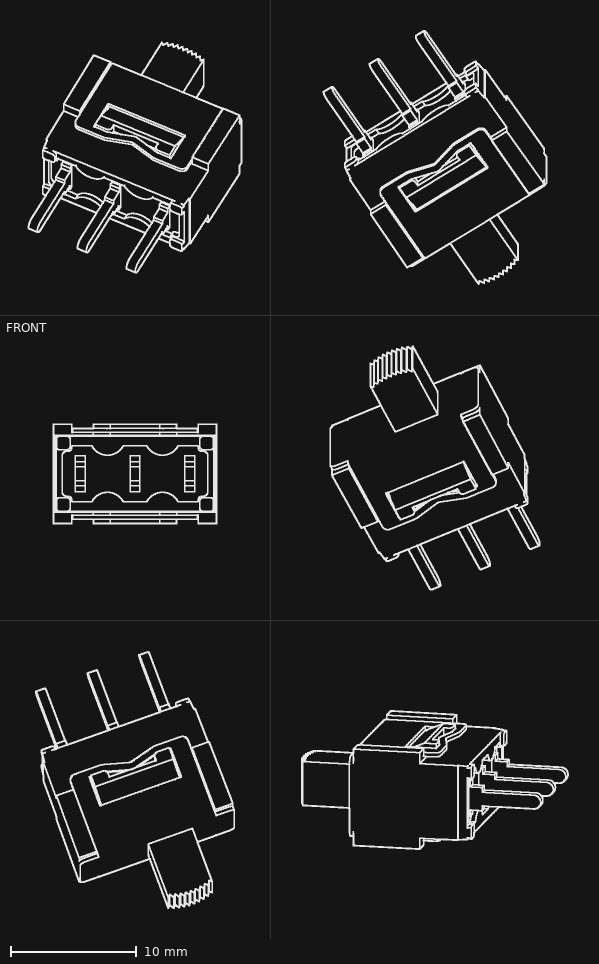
import cadquery as cq
import math


shell_half_width_top = 6.5
shell_half_width_bottom = 6.42
shell_bottom_y = 0.73
shell_top_y = 9.23
cover_top_y = 9.55
base_half_depth = 3.05
shoulder_y = 3.84

skirt_half_width_top = 6.32
skirt_half_width_bottom = 6.25
skirt_half_depth_bottom = 2.99

block_depth = 7.9
block_half_depth = block_depth / 2
channel_half_width = 5.0
channel_half_depth = 3.3

panel_thickness = cover_top_y - shell_top_y
panel_half_width = 4.97
panel_bottom_y = 2.6
panel_corner_radius = 0.48
plate_corner_radius = 0.48
notch_half_width = 2.2
notch_rise = 0.6
notch_bend_radius = 0.75
notch_peak_radius = 0.5
window_half_width = 3.43
window_bottom_y = panel_bottom_y + notch_rise
window_top_y = 5.72

latch_half_width = 3.31
latch_ridge_y = 4.2
latch_notch_half_width = 1.98
latch_corner_radius = 0.3

foot_inner_x = 5.13
foot_outer_x = 6.28
foot_inner_z = 1.9
foot_height = 0.3
foot_root_y = 0.36
foot_corner_radius = 0.3

recess_depth = 0.42
recess_half_width = 5.8
recess_half_depth = 2.22
recess_side_half_depth = 1.8
recess_waist_half_width = 5.03
recess_side_radius = 0.4
recess_step_radius = 0.26
recess_edge_radius = 0.08
scallop_radius = 1.41
scallop_center_z = 2.89

terminal_pitch = 4.36
terminal_width = 0.79
terminal_foot_half_depth = 1.43
terminal_foot_end_y = 0.1
terminal_shoulder_half_depth = 0.95
terminal_shoulder_end_y = -0.85
terminal_half_depth = 0.57
terminal_tip_y = -5.64

slider_width = 3.74
slider_center_x = -1.1
slider_half_depth = 1.8
slider_top_y = 14.56
tooth_count = 9
tooth_depth = 0.28
crown_sag = 0.36

pick_margin = 0.05


def box(x_min, x_max, y_min, y_max, z_min, z_max):
    size = (x_max - x_min, y_max - y_min, z_max - z_min)
    return cq.Workplane("XY").box(*size, centered=False).translate((x_min, y_min, z_min))


def shell_half_width(y):
    """Half width of the drafted shell at height y."""
    fraction = (y - shell_bottom_y) / (shell_top_y - shell_bottom_y)
    return shell_half_width_bottom + fraction * (shell_half_width_top - shell_half_width_bottom)


def shell_slab(y_min, y_max, half_depth):
    low = shell_half_width(y_min)
    high = shell_half_width(y_max)
    outline = [(-low, y_min), (low, y_min), (high, y_max), (-high, y_max)]
    return cq.Workplane("XY").polyline(outline).close().extrude(half_depth, both=True)


def skirt_taper(bottom_y):
    """Solid between the sloping X sides of the skirt, from the shell down to bottom_y."""
    slope = (skirt_half_width_top - skirt_half_width_bottom) / shell_bottom_y
    low = skirt_half_width_bottom + slope * bottom_y
    high = skirt_half_width_top
    outline = [(-low, bottom_y), (low, bottom_y), (high, shell_bottom_y), (-high, shell_bottom_y)]
    return cq.Workplane("XY").polyline(outline).close().extrude(base_half_depth, both=True)


def make_skirt():
    """Skirt that slopes inward on its X and Z sides."""
    profile = [
        (0, -skirt_half_depth_bottom),
        (0, skirt_half_depth_bottom),
        (shell_bottom_y, base_half_depth),
        (shell_bottom_y, -base_half_depth),
    ]
    z_taper = cq.Workplane("YZ").polyline(profile).close().extrude(skirt_half_width_top, both=True)
    return skirt_taper(0).intersect(z_taper)


def make_end_plate():
    plate = box(
        -shell_half_width_top, shell_half_width_top,
        shell_top_y, cover_top_y,
        -channel_half_depth, channel_half_depth,
    )
    return plate.edges("|Y").fillet(plate_corner_radius)


def v_edged_plate(half_width, bottom_y, top_y, thickness):
    """Plate whose lower edge rises to a rounded peak in the middle."""
    outline = [
        (-half_width, top_y),
        (-half_width, bottom_y),
        (-notch_half_width, bottom_y),
        (0, bottom_y + notch_rise),
        (notch_half_width, bottom_y),
        (half_width, bottom_y),
        (half_width, top_y),
    ]
    plate = cq.Workplane("XY").polyline(outline).close().extrude(thickness)
    bends = [
        (-notch_half_width, bottom_y, notch_bend_radius),
        (0, bottom_y + notch_rise, notch_peak_radius),
        (notch_half_width, bottom_y, notch_bend_radius),
    ]
    for x, y, radius in bends:
        bend = cq.selectors.BoxSelector(
            (x - pick_margin, y - pick_margin, 0), (x + pick_margin, y + pick_margin, thickness)
        )
        plate = plate.edges("|Z").edges(bend).fillet(radius)
    return plate


def make_panel():
    """Clip panel of the +Z side, with the round bend that joins it to the end plate."""
    panel = v_edged_plate(panel_half_width, panel_bottom_y, shell_top_y, panel_thickness)
    panel = panel.edges("|Z and (<X or >X) and <Y").fillet(panel_corner_radius)
    window = v_edged_plate(window_half_width, window_bottom_y, window_top_y, panel_thickness)
    panel = panel.cut(window).translate((0, 0, channel_half_depth))
    bend = (
        cq.Workplane("YZ")
        .moveTo(shell_top_y, base_half_depth)
        .lineTo(cover_top_y, base_half_depth)
        .lineTo(cover_top_y, channel_half_depth)
        .radiusArc((shell_top_y, channel_half_depth + panel_thickness), -panel_thickness)
        .close()
        .extrude(panel_half_width, both=True)
    )
    return panel.union(bend)


def make_latch():
    """Wedge that ramps up through the panel window and ends in two legs."""
    profile = [
        (window_bottom_y, base_half_depth),
        (window_bottom_y, block_half_depth),
        (latch_ridge_y, block_half_depth),
        (window_top_y, channel_half_depth),
        (window_top_y, base_half_depth),
    ]
    wedge = cq.Workplane("YZ").polyline(profile).close().extrude(latch_half_width, both=True)
    gap = box(
        -latch_notch_half_width, latch_notch_half_width,
        window_bottom_y, shoulder_y,
        base_half_depth, block_half_depth,
    )
    wedge = wedge.cut(gap)
    for x in (-latch_notch_half_width, latch_notch_half_width):
        leg_corner = cq.selectors.BoxSelector(
            (x - pick_margin, window_bottom_y - pick_margin, base_half_depth),
            (x + pick_margin, window_bottom_y + pick_margin, block_half_depth),
        )
        wedge = wedge.edges("|Z").edges(leg_corner).fillet(latch_corner_radius)
    return wedge


def make_foot():
    """Corner foot of the +X +Z quadrant, trimmed by the sloping side of the skirt."""
    foot = box(
        foot_inner_x, foot_outer_x,
        -foot_height, foot_root_y,
        foot_inner_z, skirt_half_depth_bottom,
    )
    foot = foot.edges("|Y").fillet(foot_corner_radius)
    return foot.intersect(skirt_taper(-foot_height))


def in_all_quadrants(shape):
    half = shape.union(shape.mirror("YZ"))
    return half.union(half.mirror("XY"))


def make_recess():
    """Pocket around the terminals, stepped around the feet and scalloped between terminals."""
    def pocket(half_width, half_depth):
        return box(-half_width, half_width, 0, recess_depth, -half_depth, half_depth)

    middle = pocket(recess_waist_half_width, recess_half_depth).edges("|Y").fillet(recess_edge_radius)
    sides = pocket(recess_half_width, recess_side_half_depth).edges("|Y").fillet(recess_side_radius)
    recess = middle.union(sides)
    for x in (-recess_waist_half_width, recess_waist_half_width):
        for z in (-recess_side_half_depth, recess_side_half_depth):
            step = cq.selectors.BoxSelector(
                (x - pick_margin, -pick_margin, z - pick_margin),
                (x + pick_margin, recess_depth + pick_margin, z + pick_margin),
            )
            recess = recess.edges("|Y").edges(step).fillet(recess_step_radius)
    scallop = (
        cq.Workplane("XZ")
        .center(terminal_pitch / 2, scallop_center_z)
        .circle(scallop_radius)
        .extrude(-recess_depth)
    )
    return recess.cut(in_all_quadrants(scallop))


def make_housing():
    blocks = shell_slab(shoulder_y, shell_top_y, block_half_depth)
    channel = box(
        -channel_half_width, channel_half_width,
        shoulder_y, shell_top_y,
        channel_half_depth, block_half_depth,
    )
    blocks = blocks.cut(channel).cut(channel.mirror("XY"))
    housing = shell_slab(shell_bottom_y, shoulder_y, base_half_depth).union(blocks)
    housing = housing.union(make_skirt()).union(make_end_plate())
    clip = make_panel().union(make_latch())
    housing = housing.union(clip).union(clip.mirror("XY"))
    return housing.cut(make_recess()).union(in_all_quadrants(make_foot()))


def make_terminal(x):
    """Flat stepped terminal with a rounded tip, standing on the recess floor."""
    round_start_y = terminal_tip_y + terminal_half_depth
    profile = (
        cq.Workplane("YZ", origin=(x - terminal_width / 2, 0, 0))
        .moveTo(recess_depth, terminal_foot_half_depth)
        .lineTo(terminal_foot_end_y, terminal_foot_half_depth)
        .lineTo(terminal_foot_end_y, terminal_shoulder_half_depth)
        .lineTo(terminal_shoulder_end_y, terminal_shoulder_half_depth)
        .lineTo(terminal_shoulder_end_y, terminal_half_depth)
        .lineTo(round_start_y, terminal_half_depth)
        .threePointArc((terminal_tip_y, 0), (round_start_y, -terminal_half_depth))
        .lineTo(terminal_shoulder_end_y, -terminal_half_depth)
        .lineTo(terminal_shoulder_end_y, -terminal_shoulder_half_depth)
        .lineTo(terminal_foot_end_y, -terminal_shoulder_half_depth)
        .lineTo(terminal_foot_end_y, -terminal_foot_half_depth)
        .lineTo(recess_depth, -terminal_foot_half_depth)
        .close()
    )
    return profile.extrude(terminal_width)


def make_slider():
    """Square stem on the end plate, with grip teeth along a crowned end."""
    half_width = slider_width / 2
    pitch = slider_width / tooth_count
    crown_radius = (half_width**2 + crown_sag**2) / (2 * crown_sag)

    innermost_peak_x = pitch / 2
    crown_center_y = slider_top_y - math.sqrt(crown_radius**2 - innermost_peak_x**2)

    def crown_y(x):
        return crown_center_y + math.sqrt(crown_radius**2 - x**2)

    outline = [(-half_width, cover_top_y)]
    for tooth in range(tooth_count):
        peak_x = -half_width + tooth * pitch
        valley_x = peak_x + pitch / 2
        outline.append((peak_x, crown_y(peak_x)))
        outline.append((valley_x, crown_y(valley_x) - tooth_depth))
    outline.append((half_width, crown_y(half_width)))
    outline.append((half_width, cover_top_y))
    stem = cq.Workplane("XY").polyline(outline).close().extrude(slider_half_depth, both=True)
    return stem.translate((slider_center_x, 0, 0))


housing = make_housing()
slider = make_slider()
terminals = [make_terminal(position * terminal_pitch) for position in (-1, 0, 1)]

result = cq.Compound.makeCompound([housing.val(), slider.val(), *[pin.val() for pin in terminals]])